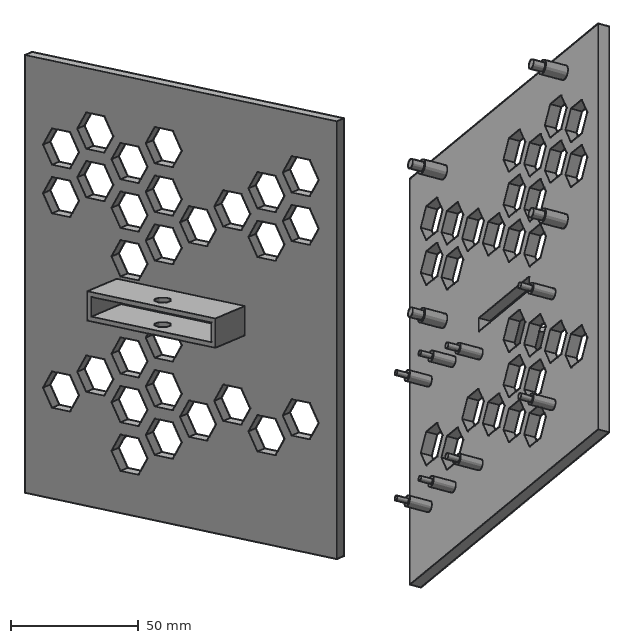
import cadquery as cq
import math

plate_width = 150.0
plate_height = 180.0
plate_thickness = 5.0

hexagon_across_flats = 15.0
hexagon_across_corners = hexagon_across_flats / math.cos(math.radians(30))
outer_columns_distance = 115.2
row_pitch = 20.0
column_stagger = 9.5
top_row_z = 64.3
open_rows = [
    (0, 1, 5),
    (0, 1, 5),
    (0, 1, 2, 4, 5, 6),
    (0, 1, 2, 4, 5, 6),
    (1, 5),
    (1, 5),
    (0, 1, 5),
    (0, 1, 5),
]
column_pitch = outer_columns_distance / (len(open_rows) - 1)

socket_width = 61.5
socket_height = 12.0
socket_depth = 20.0
socket_wall = 2.0
slot_width = 40.0
slot_height = 6.0
cross_hole_diameter = 6.5
cross_hole_from_plate = 12.2

pin_length = 15.0
tip_length = 5.0
shoulder_length = pin_length - tip_length
mounted_boards = [
    (0.0, 47.5, 96.1, 65.9, 6.0, 4.0),
    (-9.9, -38.0, 58.0, 49.1, 4.5, 2.5),
    (50.0, -34.7, 18.9, 55.6, 4.5, 2.2),
]


def block(width, depth, height, front_y):
    """Box centred on X and Z that runs from front_y towards +Y."""
    box = cq.Workplane("XY").box(width, depth, height, centered=(True, False, True))
    return box.translate((0, front_y, 0))


def front_facing_plane(y):
    """XZ workplane at the given Y; positive extrusion runs towards -Y."""
    return cq.Workplane("XZ", origin=(0, y, 0))


def hexagon_centres():
    """Window centres (x, z); every other column is shifted down by the stagger."""
    centres = []
    for column, rows in enumerate(open_rows):
        x = column * column_pitch - outer_columns_distance / 2
        column_top_z = top_row_z - (column_stagger if column % 2 == 0 else 0)
        for row in rows:
            centres.append((x, column_top_z - row * row_pitch))
    return centres


def make_plate():
    plate = block(plate_width, plate_thickness, plate_height, 0)
    windows = (
        front_facing_plane(plate_thickness)
        .pushPoints(hexagon_centres())
        .polygon(6, hexagon_across_corners)
        .extrude(plate_thickness)
    )
    slot = block(slot_width, plate_thickness, slot_height, 0)
    return plate.cut(windows).cut(slot)


def make_socket():
    shell = block(socket_width, socket_depth, socket_height, -socket_depth)
    cavity = block(
        socket_width - 2 * socket_wall,
        socket_depth,
        socket_height - 2 * socket_wall,
        -socket_depth,
    )
    cross_hole = (
        cq.Workplane("XY")
        .center(0, -cross_hole_from_plate)
        .circle(cross_hole_diameter / 2)
        .extrude(socket_height, both=True)
    )
    return shell.cut(cavity).cut(cross_hole)


def make_board_pins(centre_x, centre_z, spacing_x, spacing_z, body_diameter, tip_diameter):
    """Four stepped pins at the corners of a rectangle on the back face."""

    def pin_cylinders(diameter, start_y, length):
        return (
            front_facing_plane(start_y)
            .center(centre_x, centre_z)
            .rect(spacing_x, spacing_z, forConstruction=True)
            .vertices()
            .circle(diameter / 2)
            .extrude(-length)
        )

    bodies = pin_cylinders(body_diameter, plate_thickness, shoulder_length)
    tips = pin_cylinders(tip_diameter, plate_thickness + shoulder_length, tip_length)
    return bodies.union(tips)


part = make_plate().union(make_socket())
for board in mounted_boards:
    part = part.union(make_board_pins(*board))

result = cq.Workplane("XY").newObject([part.solids().val()])